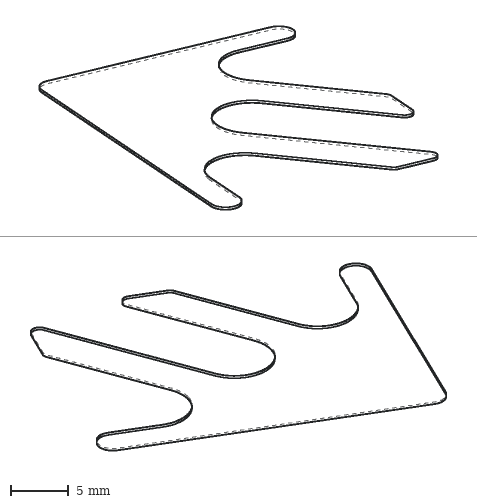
import cadquery as cq
import math

length = 31.5
width = 25.4
thickness = 0.25

arm_width = 2.85
arm_end_radius = arm_width / 2
corner_radius = arm_end_radius

gap_radius = 3.53
prong_tip_radius = 0.8
gap_inset = arm_width + gap_radius
upper_gap = (gap_inset, width - gap_inset)
middle_gap = (length / 2, width / 2)
lower_gap = (length - gap_inset, gap_inset)


def on_gap(center, degrees):
    """Point on a gap's round bottom at the given angle."""
    angle = math.radians(degrees)
    return (center[0] + gap_radius * math.cos(angle), center[1] + gap_radius * math.sin(angle))


def up_to_top(point):
    """Where the 45 degree line through a point meets the top side."""
    return (point[0] + width - point[1], width)


def out_to_right(point):
    """Where the 45 degree line through a point meets the right side."""
    return (length, point[1] + length - point[0])


upper_gap_start = on_gap(upper_gap, 180)
upper_gap_end = on_gap(upper_gap, 315)
middle_gap_start = on_gap(middle_gap, 135)
middle_gap_end = on_gap(middle_gap, 315)
lower_gap_start = on_gap(lower_gap, 135)
lower_gap_end = on_gap(lower_gap, 270)

upper_prong_tip = [up_to_top(upper_gap_end), up_to_top(middle_gap_start)]
lower_prong_tip = [out_to_right(middle_gap_end), out_to_right(lower_gap_start)]

plate = (
    cq.Workplane("XY")
    .lineTo(0, width - arm_end_radius)
    .threePointArc((arm_end_radius, width), (arm_width, width - arm_end_radius))
    .lineTo(*upper_gap_start)
    .threePointArc(on_gap(upper_gap, 247.5), upper_gap_end)
    .lineTo(*upper_prong_tip[0])
    .lineTo(*upper_prong_tip[1])
    .lineTo(*middle_gap_start)
    .threePointArc(on_gap(middle_gap, 225), middle_gap_end)
    .lineTo(*lower_prong_tip[0])
    .lineTo(*lower_prong_tip[1])
    .lineTo(*lower_gap_start)
    .threePointArc(on_gap(lower_gap, 202.5), lower_gap_end)
    .lineTo(length - arm_end_radius, arm_width)
    .threePointArc((length, arm_end_radius), (length - arm_end_radius, 0))
    .close()
    .extrude(thickness)
)


def round_corner(solid, corner, radius):
    """Round the upright edge of the plate at the given corner."""
    nearest = cq.selectors.NearestToPointSelector((*corner, thickness / 2))
    return solid.edges("|Z").edges(nearest).fillet(radius)


result = round_corner(plate, (0, 0), corner_radius)
for tip_corner in upper_prong_tip + lower_prong_tip:
    result = round_corner(result, tip_corner, prong_tip_radius)